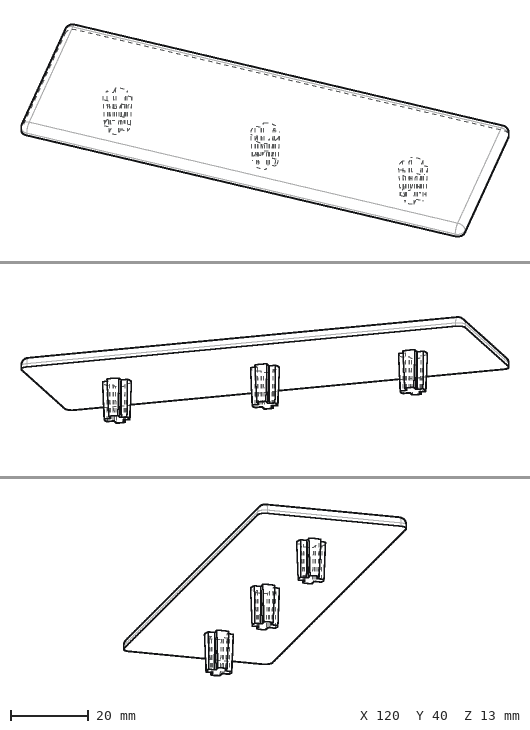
import cadquery as cq
import math

plate_length = 120.0
plate_width = plate_length / 3
plate_thickness = 3.0
edge_radius = 2.0

peg_spacing = plate_length / 3
peg_height = 10.0
peg_radius = 3.7
arm_width = 3.2
peg_draft = 2.3


def make_plate():
    """Flat plate with rounded corners and a rounded upper rim."""
    block = cq.Workplane("XY").box(
        plate_length, plate_width, plate_thickness, centered=(True, True, False)
    )
    return block.edges("|Z or >Z").fillet(edge_radius)


def cross_outline(center_x):
    """Four equal arms whose outer ends lie on one circle."""
    half = arm_width / 2
    reach = math.sqrt(peg_radius**2 - half**2)
    outline = cq.Workplane("XY", origin=(center_x, 0, 0)).moveTo(reach, -half)
    for quarter in range(4):
        cos_q = round(math.cos(quarter * math.pi / 2))
        sin_q = round(math.sin(quarter * math.pi / 2))

        def turned(x, y):
            return x * cos_q - y * sin_q, x * sin_q + y * cos_q

        outline = outline.threePointArc(turned(peg_radius, 0), turned(reach, half))
        outline = outline.lineTo(*turned(half, half))
        if quarter < 3:
            outline = outline.lineTo(*turned(half, reach))
    return outline.close()


def make_peg(center_x):
    """Drafted cross peg hanging down from the plate."""
    return cross_outline(center_x).extrude(-peg_height, taper=peg_draft)


result = make_plate()
for position in (-1, 0, 1):
    result = result.union(make_peg(position * peg_spacing))